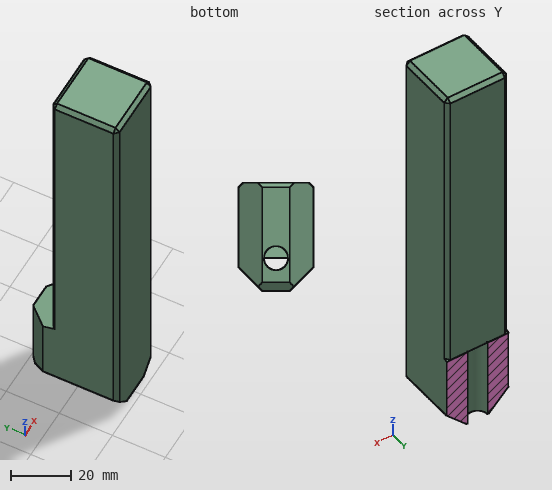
import cadquery as cq
import math

HEIGHT = 150
WIDTH = 25.0
POST_DEPTH = WIDTH
EDGE_CHAMFER = 1.5

FOOT_DEPTH = 36
FOOT_BACK_HEIGHT = 29.5
FOOT_TOP_ANGLE = 15
FOOT_CHAMFER = 8.0
FOOT_HEEL_CHAMFER = 2.8

HOLE_DIAMETER = 8.0


def foot_top_height(y):
    """Height of the sloping foot top at depth y."""
    return FOOT_BACK_HEIGHT + (FOOT_DEPTH - y) * math.tan(math.radians(FOOT_TOP_ANGLE))


def make_post():
    """Square post with its vertical edges and top rim chamfered."""
    post = cq.Workplane("XY").box(WIDTH, POST_DEPTH, HEIGHT, centered=(True, False, False))
    return post.edges("|Z or >Z").chamfer(EDGE_CHAMFER)


def make_foot():
    """Foot with a sloping top, chamfered corners at the back and a chamfered front."""
    profile = [
        (0, 0),
        (FOOT_DEPTH, 0),
        (FOOT_DEPTH, FOOT_BACK_HEIGHT),
        (0, foot_top_height(0)),
    ]
    foot = cq.Workplane("YZ").polyline(profile).close().extrude(WIDTH / 2, both=True)
    foot = foot.edges("|Z and >Y").chamfer(FOOT_CHAMFER)
    return foot.edges("|Z and <Y").chamfer(EDGE_CHAMFER)


def make_hole():
    """Vertical hole on the back plane of the post, ending at the sloping foot top."""
    hole = (
        cq.Workplane("XY")
        .center(0, POST_DEPTH)
        .circle(HOLE_DIAMETER / 2)
        .extrude(foot_top_height(0))
    )
    return hole.intersect(make_foot())


def make_bottom_envelope():
    """Full-height block whose bottom edges taper to the sole of the foot."""
    across = [
        (-WIDTH / 2 + FOOT_CHAMFER, 0),
        (WIDTH / 2 - FOOT_CHAMFER, 0),
        (WIDTH / 2, FOOT_CHAMFER),
        (WIDTH / 2, HEIGHT),
        (-WIDTH / 2, HEIGHT),
        (-WIDTH / 2, FOOT_CHAMFER),
    ]
    along = [
        (EDGE_CHAMFER, 0),
        (FOOT_DEPTH - FOOT_HEEL_CHAMFER, 0),
        (FOOT_DEPTH, FOOT_HEEL_CHAMFER),
        (FOOT_DEPTH, HEIGHT),
        (0, HEIGHT),
        (0, EDGE_CHAMFER),
    ]
    side_taper = cq.Workplane("XZ").polyline(across).close().extrude(-FOOT_DEPTH)
    end_taper = cq.Workplane("YZ").polyline(along).close().extrude(WIDTH / 2, both=True)
    return side_taper.intersect(end_taper)


body = make_post().union(make_foot())
body = body.intersect(make_bottom_envelope())
result = body.cut(make_hole()).clean()